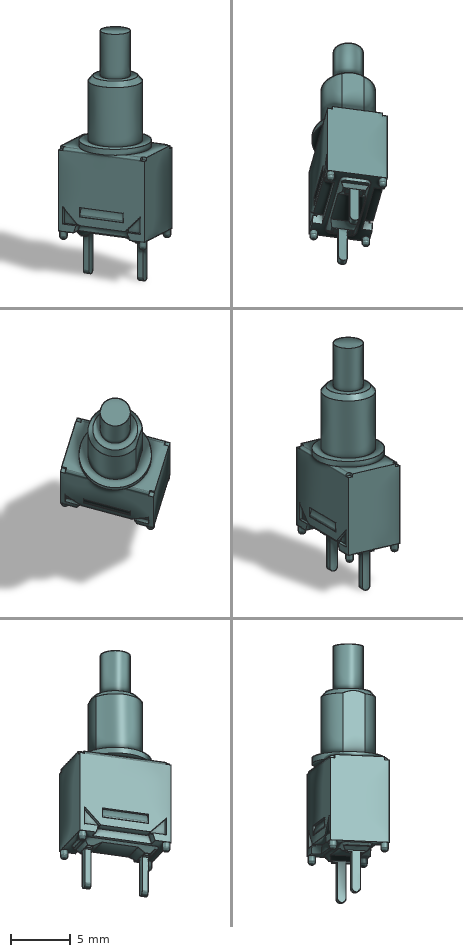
import cadquery as cq
import math


case_x = 8.14
case_y = 5.1
case_top = 7.3
post_size = 0.4
post_top = 7.05
bend_radius = 0.25

panel_half = case_x / 2 - post_size
panel_bottom = 0.7
panel_corner = 1.44
ledge_height = 0.65
recess_depth = 0.32
slot_depth = 0.85
slot_half_bottom = 2.65
slot_half_top = 2.36
slot_top = 0.77

window_width = 4.1
window_bottom = 1.45
window_top = 2.28
tooth_top = 1.6
tooth_inset = 0.05
window_depth = 0.25

flange_diameter = 6.1
flange_top = 7.82
bushing_diameter = 4.6
bushing_top = 13.45
bushing_chamfer_width = 0.4
bushing_chamfer_height = 0.45
bushing_flat_width = 1.91
plunger_diameter = 2.53
overall_height = 21.47

peg_diameter = 0.65
peg_straight = 0.45

seal_x = 7.09
seal_y = 2.66
seal_depth = 0.24
seal_corner = 0.45
mound_bottom = 0.58
mound_base_inner = 1.6
mound_base_outer = seal_x / 2 - seal_corner
mound_tip_y = 1.93

terminal_x = 2.55
terminal_thickness = 0.54
terminal_width = 0.75
terminal_length = 4.12
terminal_tip_height = 0.35
shoulder_width = 1.55
shoulder_bottom = 0.7

SIDES = (1, -1)


def front_prism(points, depth):
    """Prism of an XZ outline, running from the front case face inward."""
    return cq.Workplane("XZ", origin=(0, -case_y / 2, 0)).polyline(points).close().extrude(-depth)


def both_faces(shape):
    """The shape together with its mirror image across the XZ plane."""
    return shape.union(shape.mirror("XZ"))


def make_case():
    case = cq.Workplane("XY").box(case_x, case_y, case_top, centered=(True, True, False))
    case = case.edges("|X and >Z").fillet(bend_radius)
    notches = (
        cq.Workplane("XY", origin=(0, 0, post_top))
        .rect(case_x - post_size, case_y - post_size, forConstruction=True)
        .vertices()
        .rect(post_size, post_size)
        .extrude(case_top - post_top)
    )
    return case.cut(notches)


def make_panel_openings():
    corner_top = panel_bottom + panel_corner
    corner_half = panel_half - panel_corner
    panel = front_prism(
        [
            (-panel_half, case_top),
            (-panel_half, corner_top),
            (-corner_half, panel_bottom),
            (corner_half, panel_bottom),
            (panel_half, corner_top),
            (panel_half, case_top),
        ],
        slot_depth,
    )
    recess = front_prism(
        [
            (-panel_half, ledge_height),
            (panel_half, ledge_height),
            (panel_half, corner_top),
            (-panel_half, corner_top),
        ],
        recess_depth,
    )
    slot = front_prism(
        [
            (-slot_half_bottom, 0),
            (slot_half_bottom, 0),
            (slot_half_top, slot_top),
            (-slot_half_top, slot_top),
        ],
        slot_depth,
    )
    return both_faces(recess.union(slot).cut(panel))


def make_windows():
    face = -case_y / 2
    window = (
        cq.Workplane("YZ")
        .polyline(
            [
                (face, window_bottom),
                (face, window_top),
                (face + window_depth, window_top),
                (face + tooth_inset, tooth_top),
                (face + tooth_inset, window_bottom),
            ]
        )
        .close()
        .extrude(window_width / 2, both=True)
    )
    return both_faces(window)


def make_actuator():
    flange = cq.Workplane("XY", origin=(0, 0, case_top)).circle(flange_diameter / 2)
    flange = flange.extrude(flange_top - case_top)

    bushing = (
        cq.Workplane("XY", origin=(0, 0, flange_top))
        .circle(bushing_diameter / 2)
        .extrude(bushing_top - flange_top)
        .faces(">Z")
        .edges()
        .chamfer(bushing_chamfer_height, bushing_chamfer_width)
    )
    flat_distance = math.sqrt((bushing_diameter / 2) ** 2 - (bushing_flat_width / 2) ** 2)
    keep = cq.Workplane("XY", origin=(-flat_distance, 0, flange_top)).box(
        bushing_diameter,
        bushing_diameter,
        bushing_top - flange_top,
        centered=(False, True, False),
    )
    bushing = bushing.intersect(keep)

    plunger_top = overall_height - terminal_length
    plunger = cq.Workplane("XY", origin=(0, 0, bushing_top)).circle(plunger_diameter / 2)
    plunger = plunger.extrude(plunger_top - bushing_top)
    return flange.union(bushing).union(plunger)


def make_peg(x, y):
    radius = peg_diameter / 2
    peg = cq.Workplane("XY", origin=(x, y, 0)).circle(radius).extrude(-peg_straight)
    dome = cq.Workplane("XY", origin=(x, y, -peg_straight)).sphere(radius)
    return peg.union(dome)


def make_seal():
    side_slope = (seal_y - mound_tip_y) / 2 / mound_bottom
    seal_taper = math.degrees(math.atan(side_slope))
    mound_base_y = seal_y - 2 * side_slope * seal_depth
    seal = (
        cq.Workplane("XY")
        .sketch()
        .rect(seal_x, seal_y)
        .vertices()
        .fillet(seal_corner)
        .finalize()
        .extrude(-seal_depth, taper=seal_taper)
    )
    base_length = mound_base_outer - mound_base_inner
    base_middle = (mound_base_outer + mound_base_inner) / 2
    for side in SIDES:
        mound = (
            cq.Workplane("XY", origin=(side * base_middle, 0, -seal_depth))
            .rect(base_length, mound_base_y)
            .workplane(offset=seal_depth - mound_bottom)
            .center(side * (terminal_x - base_middle), 0)
            .rect(terminal_thickness, mound_tip_y)
            .loft(ruled=True)
        )
        seal = seal.union(mound)
    return seal


def make_terminal(x):
    half = terminal_width / 2
    tip_start = -terminal_length + terminal_tip_height
    blade = (
        cq.Workplane("YZ", origin=(x, 0, 0))
        .moveTo(-half, 0)
        .lineTo(-half, tip_start)
        .threePointArc((0, -terminal_length), (half, tip_start))
        .lineTo(half, 0)
        .close()
        .extrude(terminal_thickness / 2, both=True)
    )
    shoulder = (
        cq.Workplane("XY", origin=(x, 0, 0))
        .rect(terminal_thickness, shoulder_width)
        .extrude(-shoulder_bottom)
    )
    return blade.union(shoulder)


result = make_case().cut(make_panel_openings()).cut(make_windows())
result = result.union(make_actuator()).union(make_seal())
for x_side in SIDES:
    result = result.union(make_terminal(x_side * terminal_x))
    for y_side in SIDES:
        peg_x = x_side * (case_x - peg_diameter) / 2
        peg_y = y_side * (case_y - peg_diameter) / 2
        result = result.union(make_peg(peg_x, peg_y))